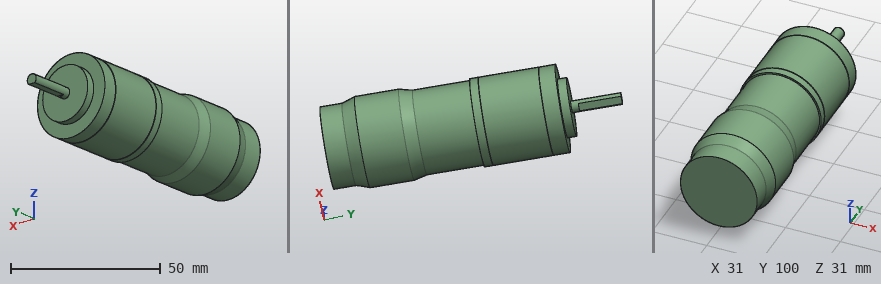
import cadquery as cq

total_length = 100.0
rear_cap_length = 7.5
taper_length = 4.5
sleeve_length = 15.0
front_rim_length = 3.0
gear_case_length = 20.5
flange_length = 5.5
boss_length = 3.0
shaft_length = 17.0

rear_cap_diameter = 28.0
sleeve_diameter = 31.0
motor_diameter = 28.8
gearbox_diameter = 30.0
boss_diameter = 20.0
shaft_diameter = 4.0

groove_width = 0.1
groove_depth = 0.1

flat_length = 14.5
flat_depth = 0.5

rear_y = -total_length / 2
tip_y = total_length / 2
cap_end_y = rear_y + rear_cap_length
sleeve_start_y = cap_end_y + taper_length
sleeve_end_y = sleeve_start_y + sleeve_length
motor_start_y = sleeve_end_y + taper_length
boss_end_y = tip_y - shaft_length
flange_end_y = boss_end_y - boss_length
flange_joint_y = flange_end_y - flange_length
rim_joint_y = flange_joint_y - gear_case_length
gearbox_start_y = rim_joint_y - front_rim_length


def cylinder(diameter, start_y, end_y):
    """Solid cylinder on the Y axis between two stations."""
    section = cq.Workplane("XZ", origin=(0, start_y, 0)).circle(diameter / 2)
    return section.extrude(start_y - end_y)


def motor_body():
    """Revolved rear cap, tapered sleeve and motor can."""
    outline = [
        (0, rear_y),
        (rear_cap_diameter / 2, rear_y),
        (rear_cap_diameter / 2, cap_end_y),
        (sleeve_diameter / 2, sleeve_start_y),
        (sleeve_diameter / 2, sleeve_end_y),
        (motor_diameter / 2, motor_start_y),
        (motor_diameter / 2, gearbox_start_y),
        (0, gearbox_start_y),
    ]
    return cq.Workplane("XY").polyline(outline).close().revolve(360, (0, 0, 0), (0, 1, 0))


def gearbox():
    """Gearbox cylinder with a shallow groove at each joint."""
    body = cylinder(gearbox_diameter, gearbox_start_y, flange_end_y)
    for joint_y in (rim_joint_y, flange_joint_y):
        groove_start_y = joint_y - groove_width
        ring = cylinder(gearbox_diameter, groove_start_y, joint_y)
        core = cylinder(gearbox_diameter - 2 * groove_depth, groove_start_y, joint_y)
        body = body.cut(ring.cut(core))
    return body


def output_shaft():
    """Round shaft with a flat facing -Z at its free end."""
    shaft = cylinder(shaft_diameter, boss_end_y, tip_y)
    flat_cutter = cq.Workplane("XY").box(
        shaft_diameter, flat_length, flat_depth, centered=(True, False, False)
    ).translate((0, tip_y - flat_length, -shaft_diameter / 2))
    return shaft.cut(flat_cutter)


front_boss = cylinder(boss_diameter, flange_end_y, boss_end_y)
result = motor_body().union(gearbox()).union(front_boss).union(output_shaft())